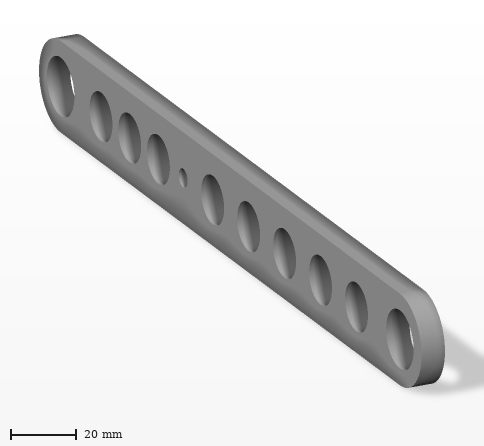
import cadquery as cq

LENGTH = 265.0
HEIGHT = 30.0
THICKNESS = 8.0
END_CENTER_X = (LENGTH - HEIGHT) / 2

END_HOLE_DIAMETER = 19.0
ROW_HOLE_DIAMETER = 16.0
SMALL_HOLE_DIAMETER = 6.0

CLOSE_ROW_COUNT = 3
CLOSE_ROW_PITCH = 20.0
CLOSE_ROW_CENTER_X = -69.7
WIDE_ROW_COUNT = 5
WIDE_ROW_PITCH = 25.0
WIDE_ROW_CENTER_X = 37.5
SMALL_HOLE_X = -32.5


def row_positions(center_x, pitch, count):
    """X positions of equally spaced holes centred on center_x."""
    first_x = center_x - pitch * (count - 1) / 2
    return [first_x + pitch * i for i in range(count)]


def hole_cutters(x_positions, diameter):
    """Cylinders along Y that pass through the full thickness."""
    centers = [(x, 0) for x in x_positions]
    return cq.Workplane("XZ").pushPoints(centers).circle(diameter / 2).extrude(THICKNESS / 2, both=True)


bar = cq.Workplane("XZ").slot2D(LENGTH, HEIGHT).extrude(THICKNESS / 2, both=True)

close_row = row_positions(CLOSE_ROW_CENTER_X, CLOSE_ROW_PITCH, CLOSE_ROW_COUNT)
wide_row = row_positions(WIDE_ROW_CENTER_X, WIDE_ROW_PITCH, WIDE_ROW_COUNT)

result = (
    bar.cut(hole_cutters([-END_CENTER_X, END_CENTER_X], END_HOLE_DIAMETER))
    .cut(hole_cutters(close_row + wide_row, ROW_HOLE_DIAMETER))
    .cut(hole_cutters([SMALL_HOLE_X], SMALL_HOLE_DIAMETER))
)